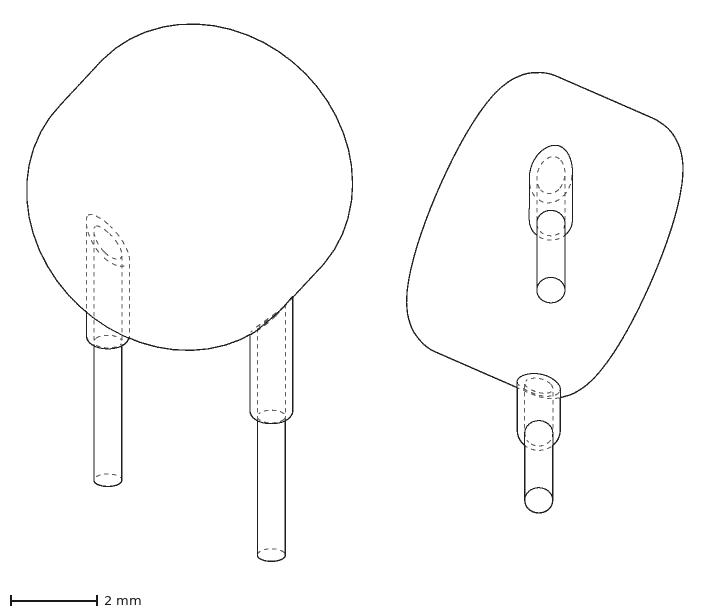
import cadquery as cq

total_height = 12.1
disc_diameter = 7.0
disc_thickness = 4.5
disc_edge_radius = 1.0

lead_pitch_x = 5.0
lead_pitch_y = 2.1
wire_diameter = 0.65
sleeve_diameter = 1.0
sleeve_edge_radius = 0.17
bare_wire_length = 3.6

disc_radius = disc_diameter / 2
wire_bottom = disc_radius - total_height
sleeve_bottom = wire_bottom + bare_wire_length
lead_positions = [
    (-lead_pitch_x / 2, lead_pitch_y / 2),
    (lead_pitch_x / 2, -lead_pitch_y / 2),
]


def make_disc():
    """Disc with its axis along Y and both rims rounded."""
    return (
        cq.Workplane("XZ", origin=(0, -disc_thickness / 2, 0))
        .circle(disc_radius)
        .extrude(-disc_thickness)
        .edges("%CIRCLE")
        .fillet(disc_edge_radius)
    )


def make_post(x, y, diameter, bottom):
    """Vertical cylinder from the given bottom up to the disc's mid-height."""
    return cq.Workplane("XY", origin=(x, y, bottom)).circle(diameter / 2).extrude(-bottom)


def make_wire(x, y, disc):
    """Round wire that ends on the disc surface."""
    return make_post(x, y, wire_diameter, wire_bottom).cut(disc)


def make_sleeve(x, y, disc):
    """Coating around the top of a wire, fitted to the disc surface."""
    bore = make_post(x, y, wire_diameter, wire_bottom)
    return (
        make_post(x, y, sleeve_diameter, sleeve_bottom)
        .faces("<Z")
        .edges()
        .fillet(sleeve_edge_radius)
        .cut(bore)
        .cut(disc)
    )


disc = make_disc()
wires = [make_wire(x, y, disc) for x, y in lead_positions]
sleeves = [make_sleeve(x, y, disc) for x, y in lead_positions]

result = cq.Compound.makeCompound(
    [disc.solids().val()]
    + [wire.solids().val() for wire in wires]
    + [sleeve.solids().val() for sleeve in sleeves]
)